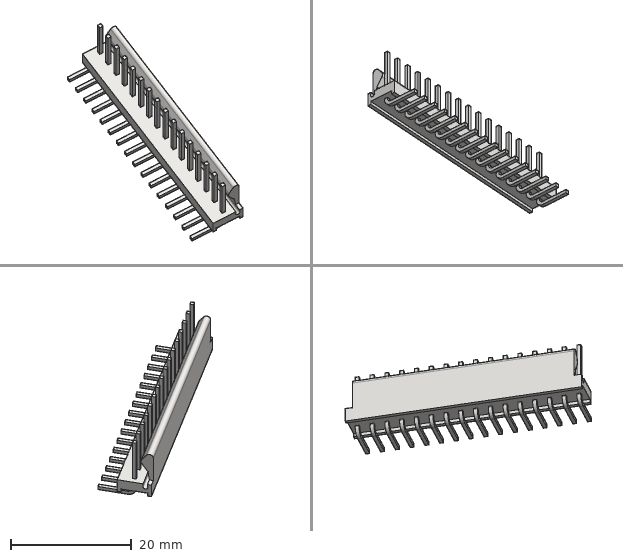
import cadquery as cq
import math


PIN_COUNT = 16
LENGTH = 40.65
PITCH = LENGTH / PIN_COUNT
ROW_SPAN = PITCH * (PIN_COUNT - 1)

BACK_Y = 3.15
TOTAL_DEPTH = 9.4
BASE_DEPTH = 5.85
BASE_HEIGHT = 2.45
FRONT_Y = BACK_Y - BASE_DEPTH
FOOT_WIDTH = 0.65
FOOT_HEIGHT = 0.6

WALL = 0.6
WALL_LEAN = math.radians(7)
GROOVE_RADIUS = 0.4
GROOVE_DEPTH = 1.0

TOTAL_HEIGHT = 11.05
PIN_SIZE = 0.65
PIN_TOP = 7.55
PIN_BOTTOM = PIN_TOP - TOTAL_HEIGHT
PIN_TIP_Y = BACK_Y - TOTAL_DEPTH
BEND_INNER_RADIUS = 0.8
BEND_OUTER_RADIUS = BEND_INNER_RADIUS + PIN_SIZE

RAMP_HEIGHT = 5.35
RAMP_TOP_RADIUS = 0.65
RAMP_REACH = 2.1
NOSE_RADIUS = 0.75
UPPER_SLOPE = math.radians(38)
LOWER_SLOPE = math.radians(35)


def extrude_along_row(outline, length):
    """Extrude a closed YZ outline symmetrically about X = 0."""
    return outline.close().extrude(length / 2, both=True)


def arc_point(center, radius, angle):
    """Point on a circle, with the angle measured from -Y toward +Z."""
    y, z = center
    return (y - radius * math.cos(angle), z + radius * math.sin(angle))


GROOVE_CENTER = (BACK_Y - WALL - GROOVE_RADIUS, GROOVE_RADIUS - GROOVE_DEPTH)
WALL_FOOT = arc_point(GROOVE_CENTER, GROOVE_RADIUS, math.pi - WALL_LEAN)
WALL_BASE_Y = WALL_FOOT[0] + WALL_FOOT[1] * math.tan(WALL_LEAN)


def make_base():
    """Bar with a foot along each long edge and a round-bottomed groove on top."""
    foot_top = -BASE_HEIGHT + FOOT_HEIGHT
    groove_front = GROOVE_CENTER[0] - GROOVE_RADIUS
    outline = (
        cq.Workplane("YZ")
        .moveTo(BACK_Y, 0)
        .lineTo(WALL_BASE_Y, 0)
        .lineTo(*WALL_FOOT)
        .threePointArc(
            (GROOVE_CENTER[0], -GROOVE_DEPTH),
            (groove_front, GROOVE_CENTER[1]),
        )
        .lineTo(groove_front, 0)
        .lineTo(FRONT_Y, 0)
        .lineTo(FRONT_Y, -BASE_HEIGHT)
        .lineTo(FRONT_Y + FOOT_WIDTH, -BASE_HEIGHT)
        .lineTo(FRONT_Y + FOOT_WIDTH, foot_top)
        .lineTo(BACK_Y - FOOT_WIDTH, foot_top)
        .lineTo(BACK_Y - FOOT_WIDTH, -BASE_HEIGHT)
        .lineTo(BACK_Y, -BASE_HEIGHT)
    )
    return extrude_along_row(outline, LENGTH)


def make_ramp():
    """Locking ramp with a rounded top and nose, spanning the first to the last pin."""
    top_center = (BACK_Y - RAMP_TOP_RADIUS, RAMP_HEIGHT - RAMP_TOP_RADIUS)
    nose_y = BACK_Y - RAMP_REACH + NOSE_RADIUS

    forward = top_center[0] - nose_y
    drop = (forward * math.cos(UPPER_SLOPE) + NOSE_RADIUS - RAMP_TOP_RADIUS) / math.sin(UPPER_SLOPE)
    nose_center = (nose_y, top_center[1] - drop)

    nose_end = arc_point(nose_center, NOSE_RADIUS, -LOWER_SLOPE)

    lower_run = math.tan(LOWER_SLOPE)
    wall_run = math.tan(WALL_LEAN)
    neck_z = (nose_end[0] + nose_end[1] * lower_run - WALL_BASE_Y) / (lower_run - wall_run)
    neck_y = WALL_BASE_Y - neck_z * wall_run
    outline = (
        cq.Workplane("YZ")
        .moveTo(BACK_Y, 0)
        .lineTo(BACK_Y, top_center[1])
        .threePointArc(
            (top_center[0], RAMP_HEIGHT),
            arc_point(top_center, RAMP_TOP_RADIUS, UPPER_SLOPE),
        )
        .lineTo(*arc_point(nose_center, NOSE_RADIUS, UPPER_SLOPE))
        .threePointArc(arc_point(nose_center, NOSE_RADIUS, 0), nose_end)
        .lineTo(neck_y, neck_z)
        .lineTo(WALL_BASE_Y, 0)
    )
    return extrude_along_row(outline, ROW_SPAN)


def make_pin():
    """Square pin that stands up through the base and bends forward beneath it."""
    half = PIN_SIZE / 2
    bend_center = (-half - BEND_INNER_RADIUS, PIN_BOTTOM + BEND_OUTER_RADIUS)
    bend_middle = math.radians(180 + 45)
    outline = (
        cq.Workplane("YZ")
        .moveTo(-half, PIN_TOP)
        .lineTo(half, PIN_TOP)
        .lineTo(half, bend_center[1])
        .threePointArc(
            arc_point(bend_center, BEND_OUTER_RADIUS, bend_middle),
            (bend_center[0], PIN_BOTTOM),
        )
        .lineTo(PIN_TIP_Y, PIN_BOTTOM)
        .lineTo(PIN_TIP_Y, PIN_BOTTOM + PIN_SIZE)
        .lineTo(bend_center[0], PIN_BOTTOM + PIN_SIZE)
        .threePointArc(
            arc_point(bend_center, BEND_INNER_RADIUS, bend_middle),
            (-half, bend_center[1]),
        )
    )
    return extrude_along_row(outline, PIN_SIZE)


result = make_base().union(make_ramp()).clean()
pin = make_pin()
for index in range(PIN_COUNT):
    result = result.union(pin.translate((index * PITCH - ROW_SPAN / 2, 0, 0)))